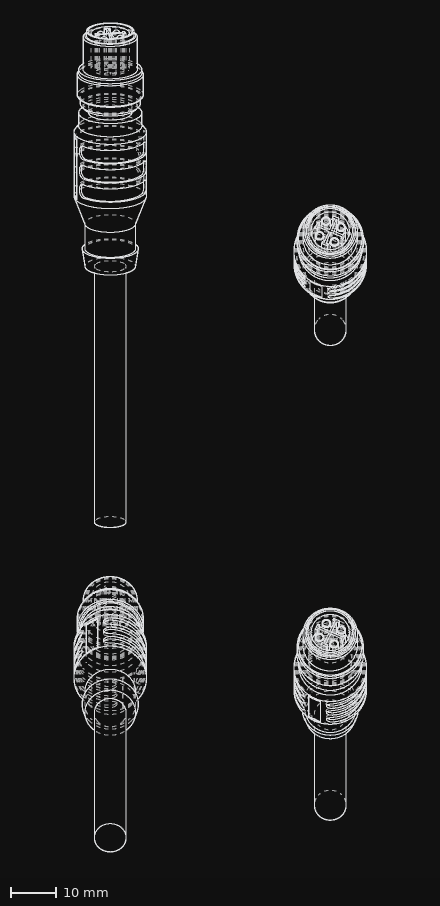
import cadquery as cq
import math

total_height = 115.5

cable_dia = 7.0
relief_bottom_z = 60.2
relief_lip_z = 64.3
relief_lip_dia = 12.5
relief_neck_dia = 11.2

taper_bottom_z = 70.2
grip_bottom_z = 76.7
grip_top_z = 91.8
grip_dia = 16.0
shoulder_z = 93.2
collar_dia = 14.0
collar_top_z = 96.3

neck_dia = 9.6
thread_dia = 12.0
ferrule_bottom_z = 97.7
flange_bottom_z = 98.4
flange_dia = 13.3
nut_bottom_z = 100.1
nut_top_z = 106.5
nut_dia = 14.7
nut_rim_dia = collar_dia
nut_rim_height = 0.8
chamfer_height = 0.3
sleeve_tip_dia = 10.5
thread_chamfer_dia = 11.2
sleeve_tip_height = 1.0

cavity_dia = 8.4
mouth_dia = 9.8
mouth_height = 0.5
cavity_depth = 8.8
insert_recess = 0.6
contact_count = 4
contact_circle_radius = 2.5
contact_dia = 2.0
contact_tip_dia = 1.5

shield_thickness = 0.5
shield_reach = 3.3
shield_foot_width = 1.4
shield_angle = 45

groove_count = 3
groove_width = 3.1
groove_pitch = 4.5
groove_depth = 0.6
groove_top_z = 90.3
panel_angles = (44, 224)
groove_gap_angle = 40
panel_width = 2.9
panel_distance = 7.7
panel_top_margin = 0.8
panel_bottom_margin = 0.3

cavity_floor_z = total_height - cavity_depth
insert_top_z = total_height - insert_recess

cutter_reach = grip_dia


def make_body():
    """Revolve the outer silhouette of cable, grip, nut and sleeve."""
    steps = [
        (cable_dia, 0),
        (cable_dia, relief_bottom_z),
        (relief_neck_dia, relief_bottom_z),
        (relief_lip_dia, relief_lip_z),
        (relief_neck_dia, relief_lip_z),
        (relief_neck_dia, taper_bottom_z),
        (grip_dia, grip_bottom_z),
        (grip_dia, grip_top_z),
        (collar_dia, shoulder_z),
        (collar_dia, collar_top_z),
        (neck_dia, collar_top_z),
        (neck_dia, ferrule_bottom_z),
        (thread_dia, ferrule_bottom_z),
        (thread_dia, flange_bottom_z),
        (flange_dia, flange_bottom_z),
        (flange_dia, nut_bottom_z),
        (nut_rim_dia, nut_bottom_z),
        (nut_dia, nut_bottom_z + chamfer_height),
        (nut_dia, nut_top_z - nut_rim_height - chamfer_height),
        (nut_rim_dia, nut_top_z - nut_rim_height),
        (nut_rim_dia, nut_top_z),
        (thread_dia, nut_top_z),
        (thread_dia, total_height - sleeve_tip_height - chamfer_height),
        (thread_chamfer_dia, total_height - sleeve_tip_height),
        (sleeve_tip_dia, total_height - sleeve_tip_height),
        (sleeve_tip_dia, total_height),
    ]
    outline = [(0, 0)] + [(dia / 2, z) for dia, z in steps] + [(0, total_height)]
    return cq.Workplane("XZ").polyline(outline).close().revolve(360, (0, 0), (0, 1))


def make_cavity():
    """Round socket with a conical lead-in at the mouth."""
    outline = [
        (0, cavity_floor_z),
        (cavity_dia / 2, cavity_floor_z),
        (cavity_dia / 2, total_height - mouth_height),
        (mouth_dia / 2, total_height),
        (0, total_height),
    ]
    return cq.Workplane("XZ").polyline(outline).close().revolve(360, (0, 0), (0, 1))


def make_contact(angle):
    """Stepped pin with a half-round tip, standing on the cavity floor."""
    tip_radius = contact_tip_dia / 2
    step_z = insert_top_z - tip_radius
    body = (
        cq.Workplane("XY", origin=(0, 0, cavity_floor_z))
        .circle(contact_dia / 2)
        .extrude(step_z - cavity_floor_z)
    )
    tip = cq.Workplane("XY", origin=(0, 0, step_z)).sphere(tip_radius)
    contact = body.union(tip).translate((contact_circle_radius, 0, 0))
    return contact.rotate((0, 0, 0), (0, 0, 1), angle)


def make_shield():
    """Diagonal cross whose four arms end in short feet."""
    height = insert_top_z - cavity_floor_z
    foot_offset = shield_reach - shield_thickness / 2
    floor = cq.Workplane("XY", origin=(0, 0, cavity_floor_z))
    arm = floor.rect(2 * shield_reach, shield_thickness).extrude(height)
    feet = (
        floor.pushPoints([(-foot_offset, 0), (foot_offset, 0)])
        .rect(shield_thickness, shield_foot_width)
        .extrude(height)
    )
    bar = arm.union(feet)
    shield = bar.union(bar.rotate((0, 0, 0), (0, 0, 1), 90))
    return shield.rotate((0, 0, 0), (0, 0, 1), shield_angle)


def make_groove(centre_z, gap_angle):
    """Round-ended slot running from one panel gap round to the opposite one."""
    inner_radius = grip_dia / 2 - groove_depth
    end_radius = groove_width / 2
    end_angle = math.degrees(end_radius / (grip_dia / 2))
    start = gap_angle + groove_gap_angle / 2 + end_angle
    sweep = 180 - groove_gap_angle - 2 * end_angle
    mask = (
        cq.Workplane("XZ")
        .moveTo(cutter_reach / 2, centre_z)
        .rect(cutter_reach, groove_width)
        .revolve(sweep, (0, 0), (0, 1))
        .rotate((0, 0, 0), (0, 0, 1), start)
    )
    for angle in (start, start + sweep):
        round_end = (
            cq.Workplane("YZ", origin=(0, 0, centre_z))
            .circle(end_radius)
            .extrude(cutter_reach)
            .rotate((0, 0, 0), (0, 0, 1), angle)
        )
        mask = mask.union(round_end)
    core = (
        cq.Workplane("XY", origin=(0, 0, centre_z - groove_width))
        .circle(inner_radius)
        .extrude(2 * groove_width)
    )
    return mask.cut(core)


def make_panel(angle):
    """Cutter for a shallow flat panel on the grip."""
    bottom_z = grip_bottom_z + panel_bottom_margin
    height = grip_top_z - panel_top_margin - bottom_z
    return (
        cq.Workplane("XY", origin=(panel_distance, 0, bottom_z))
        .box(cutter_reach, panel_width, height, centered=(False, True, False))
        .rotate((0, 0, 0), (0, 0, 1), angle)
    )


result = make_body().cut(make_cavity())

for index in range(contact_count):
    result = result.union(make_contact(index * 360 / contact_count))
result = result.union(make_shield())

for panel_angle in panel_angles:
    for index in range(groove_count):
        groove_z = groove_top_z - groove_width / 2 - index * groove_pitch
        result = result.cut(make_groove(groove_z, panel_angle))
    result = result.cut(make_panel(panel_angle))